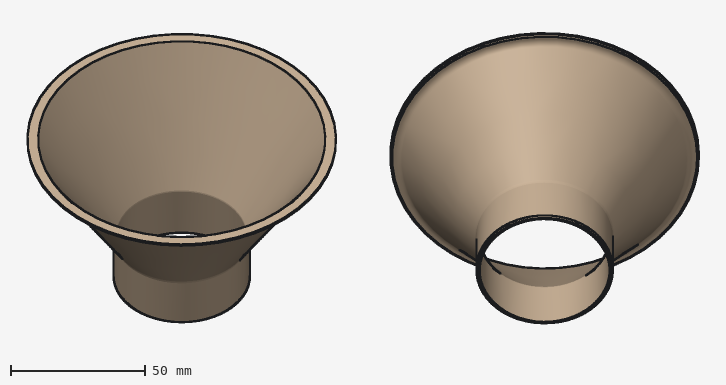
import cadquery as cq
import math

height = 70.2
rim_radius = 57.5
rim_thickness = 1.4
rim_edge_chamfer = 0.7

spout_outer_radius = 51.0 / 2
spout_bore_radius = 48.4 / 2
spout_edge_chamfer = 0.7
spout_height = 21.0

cone_angle = 30.8
cone_slope = math.tan(math.radians(cone_angle))
wall_width = spout_outer_radius - spout_bore_radius

rim_outer_fillet = 2.8
neck_outer_fillet = 2.5
neck_inner_fillet = 1.0


def cone_outer_radius(z):
    """Radius of the outer cone surface at height z."""
    return spout_outer_radius + (z - spout_height) * cone_slope


def solid_of_revolution(points):
    """Revolve a closed (radius, height) outline about the Z axis."""
    return cq.Workplane("XZ").polyline(points).close().revolve(360, (0, 0), (0, 1))


def circle_at(radius, z):
    """Selector for the circular edge at a given radius and height."""
    margin = 0.01
    reach = radius + margin
    return cq.selectors.BoxSelector(
        (-reach, -reach, z - margin), (reach, reach, z + margin), boundingbox=True
    ) - cq.selectors.BoxSelector(
        (-radius + margin, -radius + margin, z - margin),
        (radius - margin, radius - margin, z + margin),
        boundingbox=True,
    )


rim_bottom = height - rim_thickness
rim_root_radius = cone_outer_radius(rim_bottom)
body = solid_of_revolution([
    (0, 0),
    (spout_outer_radius, 0),
    (spout_outer_radius, spout_height),
    (rim_root_radius, rim_bottom),
    (rim_radius, rim_bottom),
    (rim_radius, height),
    (0, height),
])
body = body.edges(circle_at(spout_outer_radius, spout_height)).fillet(neck_outer_fillet)
body = body.edges(circle_at(rim_root_radius, rim_bottom)).fillet(rim_outer_fillet)
body = body.edges(circle_at(spout_outer_radius, 0)).chamfer(spout_edge_chamfer)
body = body.edges(circle_at(rim_radius, rim_bottom)).chamfer(rim_edge_chamfer)

mouth_radius = cone_outer_radius(height) - wall_width
hollow = solid_of_revolution([
    (0, 0),
    (spout_bore_radius, 0),
    (spout_bore_radius, spout_height),
    (mouth_radius, height),
    (0, height),
])
hollow = hollow.edges(circle_at(spout_bore_radius, spout_height)).fillet(neck_inner_fillet)

result = body.cut(hollow)